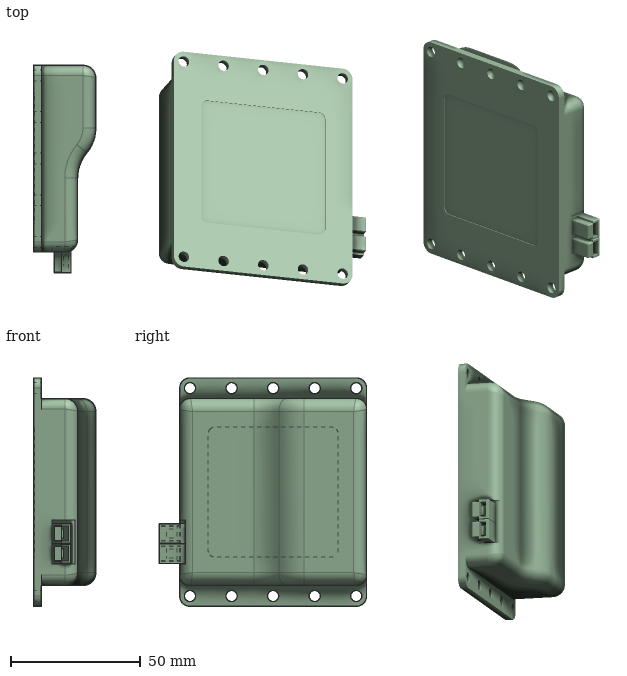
import math

import cadquery as cq

PLATE_THICKNESS = 3.0
PLATE_HEIGHT = 88.0
WIDTH = 72.0
CORNER_RADIUS = 4.0
HOLE_DIAMETER = 4.2
HOLE_EDGE_DISTANCE = 4.0
HOLES_PER_ROW = 5

RECESS_SIZE = 50.0
RECESS_CORNER_RADIUS = 2.5
RECESS_DEPTH = 0.3

BODY_HEIGHT = 72.0
LOW_TOP = 17.0
HIGH_TOP = 24.0
STEP_RADIUS = 15.0
STEP_CENTER_Y = 2.2
TOP_FILLET = 5.0

OPENING_X_MIN = 7.0
OPENING_X_MAX = 16.0
OPENING_BOTTOM = -27.6
OPENING_HEIGHT = 16.9
OPENING_DEPTH = 2.2

CONNECTOR_COUNT = 2
CONNECTOR_PITCH = 7.8
CONNECTOR_LENGTH = 8.0
BASE_SETBACK = 0.3
SIDE_GAP = 0.1
TONGUE_X_MIN = 7.8
HOOD_X_MIN = 10.7
HOOD_X_MAX = 14.5
TONGUE_SIDE_GAP = 0.9
TONGUE_CHAMFER = 0.3
HOOD_CHAMFER = 0.2
HOOD_WALL = 1.0
HOOD_CAVITY_DEPTH = 7.0
CONTACT_THICKNESS = 0.8
CONTACT_HEIGHT = 3.5
CONTACT_LENGTH = 4.0

WALL_Y = -WIDTH / 2
OPENING_FLOOR_Y = WALL_Y + OPENING_DEPTH
CONNECTOR_END_Y = WALL_Y - CONNECTOR_LENGTH


def box(x_range, y_range, z_range):
    """Axis-aligned box between pairs of limits."""
    lows, highs = zip(*(sorted(limits) for limits in (x_range, y_range, z_range)))
    sizes = [high - low for low, high in zip(lows, highs)]
    return cq.Workplane("XY").box(*sizes, centered=False).translate(lows)


def make_plate():
    plate = (
        cq.Workplane("YZ")
        .rect(WIDTH, PLATE_HEIGHT)
        .extrude(PLATE_THICKNESS)
        .edges("|X")
        .fillet(CORNER_RADIUS)
    )
    row_length = WIDTH - 2 * HOLE_EDGE_DISTANCE
    row_spacing = PLATE_HEIGHT - 2 * HOLE_EDGE_DISTANCE
    holes = (
        cq.Workplane("YZ")
        .rarray(row_length / (HOLES_PER_ROW - 1), row_spacing, HOLES_PER_ROW, 2)
        .circle(HOLE_DIAMETER / 2)
        .extrude(PLATE_THICKNESS)
    )
    return plate.cut(holes)


def make_body():
    step_rise = (HIGH_TOP - LOW_TOP) / 2
    angle = math.acos(1 - step_rise / STEP_RADIUS)
    step_run = STEP_RADIUS * math.sin(angle)
    mid_rise = STEP_RADIUS * (1 - math.cos(angle / 2))
    mid_run = STEP_RADIUS * math.sin(angle / 2)
    low_y = STEP_CENTER_Y - step_run
    high_y = STEP_CENTER_Y + step_run
    body = (
        cq.Workplane("XY")
        .moveTo(0, WALL_Y)
        .lineTo(LOW_TOP, WALL_Y)
        .lineTo(LOW_TOP, low_y)
        .threePointArc((LOW_TOP + mid_rise, low_y + mid_run), (LOW_TOP + step_rise, STEP_CENTER_Y))
        .threePointArc((HIGH_TOP - mid_rise, high_y - mid_run), (HIGH_TOP, high_y))
        .lineTo(HIGH_TOP, -WALL_Y)
        .lineTo(0, -WALL_Y)
        .close()
        .extrude(BODY_HEIGHT / 2, both=True)
    )
    body = body.edges("|X").fillet(CORNER_RADIUS)
    return body.faces(">X").edges(">Y").fillet(TOP_FILLET)


def make_back_recess():
    return (
        cq.Workplane("YZ")
        .rect(RECESS_SIZE, RECESS_SIZE)
        .extrude(RECESS_DEPTH)
        .edges("|X")
        .fillet(RECESS_CORNER_RADIUS)
    )


def make_opening():
    return box(
        (OPENING_X_MIN, OPENING_X_MAX),
        (WALL_Y, OPENING_FLOOR_Y),
        (OPENING_BOTTOM, OPENING_BOTTOM + OPENING_HEIGHT),
    )


def make_connector(bottom):
    top = bottom + CONNECTOR_PITCH
    middle = (bottom + top) / 2
    full_height = (bottom + SIDE_GAP, top - SIDE_GAP)
    base = box((OPENING_X_MIN, HOOD_X_MAX), (OPENING_FLOOR_Y, WALL_Y + BASE_SETBACK), full_height)
    tongue = box(
        (TONGUE_X_MIN, HOOD_X_MIN),
        (OPENING_FLOOR_Y, CONNECTOR_END_Y),
        (bottom + TONGUE_SIDE_GAP, top - TONGUE_SIDE_GAP),
    )
    tongue = tongue.faces("<X or <Y").edges("not(>X or >Y)").chamfer(TONGUE_CHAMFER)
    hood = box((HOOD_X_MIN, HOOD_X_MAX), (OPENING_FLOOR_Y, CONNECTOR_END_Y), full_height)
    hood = hood.faces("<Y").edges("not <X").chamfer(HOOD_CHAMFER)
    cavity_end_y = CONNECTOR_END_Y + HOOD_CAVITY_DEPTH
    cavity = box(
        (HOOD_X_MIN, HOOD_X_MAX - HOOD_WALL),
        (CONNECTOR_END_Y, cavity_end_y),
        (bottom + HOOD_WALL, top - HOOD_WALL),
    )
    contact = box(
        (HOOD_X_MIN, HOOD_X_MIN + CONTACT_THICKNESS),
        (cavity_end_y - CONTACT_LENGTH, cavity_end_y),
        (middle - CONTACT_HEIGHT / 2, middle + CONTACT_HEIGHT / 2),
    )
    return base.union(hood.cut(cavity)).union(tongue).union(contact)


result = make_plate().union(make_body()).cut(make_back_recess()).cut(make_opening())
for index in range(CONNECTOR_COUNT):
    result = result.union(make_connector(OPENING_BOTTOM + index * CONNECTOR_PITCH))